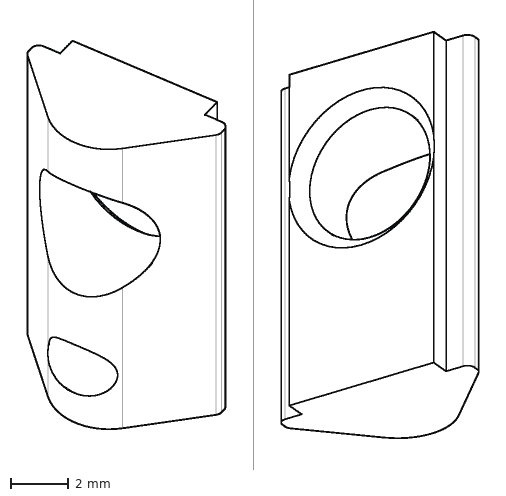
import cadquery as cq
import math

length = 13.0
body_width = 8.0
body_depth = 4.5
neck_width = 6.0
neck_depth = 0.79
nose_radius = 2.18
wing_radius = 0.3
hole_diameter = 5.0
countersink = 0.53
hole_height = 8.5
ball_radius = 1.5
ball_height = 2.5
overall_depth = 5.0

half_width = body_width / 2
half_neck = neck_width / 2
apex_depth = body_depth + nose_radius * (math.sqrt(2) - 1)
flank_start_depth = apex_depth - half_width
nose_half_width = nose_radius * math.sin(math.radians(45))
nose_edge_depth = apex_depth - nose_half_width


def make_body():
    """Prism with a stepped back, rounded wings and a rounded 45 degree nose."""
    profile = (
        cq.Workplane("XY")
        .moveTo(-half_neck, 0)
        .lineTo(half_neck, 0)
        .lineTo(half_neck, -neck_depth)
        .lineTo(half_width, -neck_depth)
        .lineTo(half_width, -flank_start_depth)
        .lineTo(nose_half_width, -nose_edge_depth)
        .threePointArc((0, -body_depth), (-nose_half_width, -nose_edge_depth))
        .lineTo(-half_width, -flank_start_depth)
        .lineTo(-half_width, -neck_depth)
        .lineTo(-half_neck, -neck_depth)
        .close()
    )
    body = profile.extrude(length)
    return body.edges("|Z and (<X or >X)").fillet(wing_radius)


def make_hole():
    """Cutter for the hole along Y, through the full depth and countersunk from the back."""
    hole_radius = hole_diameter / 2
    bore = (
        cq.Workplane("XZ")
        .center(0, hole_height)
        .circle(hole_radius)
        .extrude(overall_depth)
    )
    cone = cq.Solid.makeCone(
        hole_radius + countersink,
        hole_radius,
        countersink,
        pnt=cq.Vector(0, 0, hole_height),
        dir=cq.Vector(0, -1, 0),
    )
    return bore.union(cq.Workplane(cone))


def make_ball():
    """Detent ball partly sunk into the nose."""
    ball_depth = overall_depth - ball_radius
    return cq.Workplane("XY").sphere(ball_radius).translate((0, -ball_depth, ball_height))


result = make_body().cut(make_hole()).union(make_ball())